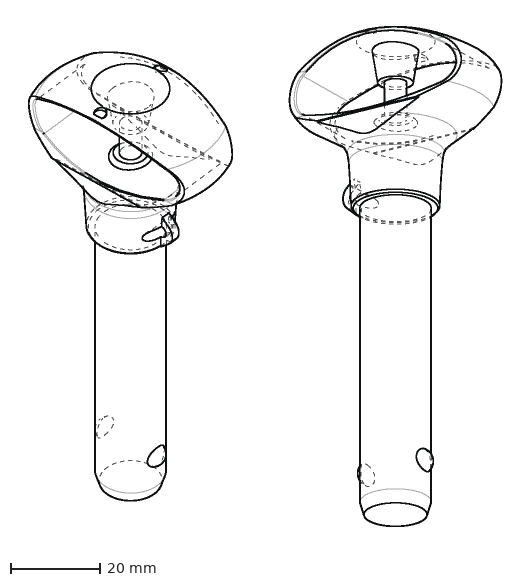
import cadquery as cq
import math

height = 114.5
shank_radius = 8.0
tip_radius = 7.1
tip_height = 3.1

ball_radius = 3.0
ball_reach = 9.6
ball_z = 11.5

collar_bottom = 74.2
collar_edge_radius = 9.5
collar_edge_height = 0.6
collar_radius = 10.0
collar_top = 85.4
collar_top_radius = 10.5
neck_radius = 10.9
neck_z = 87.7
dome_flat_radius = 8.8
dome_shoulder = (15.2, 111.9)
dome_edge = (22.0, 108.0)
rim_radius = 24.5
rim_z = 102.8
rim_bottom = (22.3, 97.3)
flare_top = (13.7, 91.8)
flare_mid = (11.9, 89.9)

flat_half = 11.2
flat_top = 94.3
ledge_half = 11.7
waist_lower = (9.2, 97.7)
waist_middle = (8.2, 102.8)
waist_upper = (10.1, 108.0)
crown_width = 24.8
crown_half = crown_width / 2
crown_z = 112.9

floor_z = 94.8
floor_end = (17.7, 97.5)
opening_half = 21.5
opening_z = 102.7
roof_end = (18.7, 107.2)
roof_z = 112.4
opening_rounding = 0.3

button_top_radius = 5.3
button_bottom_radius = 4.0
button_bottom = 104.5
rod_radius = 2.5
seat_radius = 5.0
seat_top_radius = 3.9
seat_top = 95.8

dimple_radius = 1.5
dimple_offset = 10.4
dimple_bottom = 113.6

lug_x = 10.0
lug_z = 79.0
lug_radius = 3.4
lug_thickness = 2.3
lug_hole_diameter = 3.1
lug_bottom = 74.4
lug_top = 83.6


def frustum(bottom_radius, top_radius, bottom, top):
    """Solid cone section on the Z axis."""
    cone = cq.Solid.makeCone(bottom_radius, top_radius, top - bottom, cq.Vector(0, 0, bottom))
    return cq.Workplane(cone)


def make_handle_body():
    """Round collar flaring into the domed handle.

    The half turn keeps the seam of the revolved faces on -X, clear of the lanyard hole.
    """
    return (
        cq.Workplane("XZ")
        .moveTo(0, collar_bottom)
        .lineTo(collar_edge_radius, collar_bottom)
        .lineTo(collar_radius, collar_bottom + collar_edge_height)
        .lineTo(collar_top_radius, collar_top)
        .lineTo(neck_radius, neck_z)
        .threePointArc(flare_mid, flare_top)
        .lineTo(*rim_bottom)
        .threePointArc((rim_radius, rim_z), dome_edge)
        .threePointArc(dome_shoulder, (dome_flat_radius, height))
        .lineTo(0, height)
        .close()
        .revolve(360, (0, 0, 0), (0, 1, 0))
        .rotate((0, 0, 0), (0, 0, 1), 180)
    )


def make_side_envelope():
    """Waisted profile that gives the handle its concave sides."""
    half = (
        cq.Workplane("YZ")
        .moveTo(0, collar_bottom)
        .lineTo(flat_half, collar_bottom)
        .lineTo(flat_half, flat_top)
        .lineTo(ledge_half, flat_top)
        .lineTo(*waist_lower)
        .threePointArc(waist_middle, waist_upper)
        .lineTo(crown_half, crown_z)
        .lineTo(crown_half, height)
        .lineTo(0, height)
        .close()
        .extrude(2 * rim_radius, both=True)
    )
    return half.union(half.mirror("XZ"))


def make_opening():
    """Finger opening running through the handle along Y."""
    return (
        cq.Workplane("XZ")
        .moveTo(-floor_end[0], floor_end[1])
        .threePointArc((0, floor_z), floor_end)
        .threePointArc((opening_half, opening_z), roof_end)
        .threePointArc((0, roof_z), (-roof_end[0], roof_end[1]))
        .threePointArc((-opening_half, opening_z), (-floor_end[0], floor_end[1]))
        .close()
        .extrude(rim_radius, both=True)
    )


def make_lanyard_hole():
    """Round hole along Y through the lug and the edge of the collar."""
    return (
        cq.Workplane("XZ")
        .center(lug_x, lug_z)
        .circle(lug_hole_diameter / 2)
        .extrude(collar_radius, both=True)
    )


def make_lug():
    """Rounded ear with sloping sides on the +X side of the collar."""
    reach = lug_radius * math.sqrt(0.5)
    return (
        cq.Workplane("XZ")
        .moveTo(0, lug_bottom)
        .lineTo(lug_x, lug_bottom)
        .lineTo(lug_x + reach, lug_z - reach)
        .threePointArc((lug_x + lug_radius, lug_z), (lug_x + reach, lug_z + reach))
        .lineTo(lug_x, lug_top)
        .lineTo(0, lug_top)
        .close()
        .extrude(lug_thickness / 2, both=True)
    )


def round_opening_rims(body, opening):
    """Round the two rims where the opening's wall meets the sides."""
    walls = cq.Compound.makeCompound(opening.faces("not |Y").vals())
    touch_tolerance = 0.0001
    rim_edges = [
        edge
        for edge in body.edges("not |Y").vals()
        if cq.Vertex.makeVertex(*edge.positionAt(0.5).toTuple()).distance(walls) < touch_tolerance
    ]
    return body.newObject(rim_edges).fillet(opening_rounding)


finger_opening = make_opening()
handle = make_handle_body().intersect(make_side_envelope()).cut(finger_opening)
handle = round_opening_rims(handle, finger_opening)

for side in (-1, 1):
    dimple = (
        cq.Workplane("XY", origin=(0, side * dimple_offset, dimple_bottom))
        .circle(dimple_radius)
        .extrude(height - dimple_bottom)
    )
    handle = handle.cut(dimple)

seat = frustum(seat_radius, seat_top_radius, floor_z, seat_top)
rod = cq.Workplane("XY", origin=(0, 0, collar_top)).circle(rod_radius).extrude(button_bottom - collar_top)
button = frustum(button_bottom_radius, button_top_radius, button_bottom, roof_z)

tip = frustum(tip_radius, shank_radius, 0, tip_height)
shank = cq.Workplane("XY", origin=(0, 0, tip_height)).circle(shank_radius).extrude(collar_top - tip_height)

result = handle.union(seat).union(rod).union(button).union(shank).union(tip).union(make_lug())

for side in (-1, 1):
    ball = cq.Workplane("XY").sphere(ball_radius)
    result = result.union(ball.translate((side * (ball_reach - ball_radius), 0, ball_z)))

result = result.cut(make_lanyard_hole())